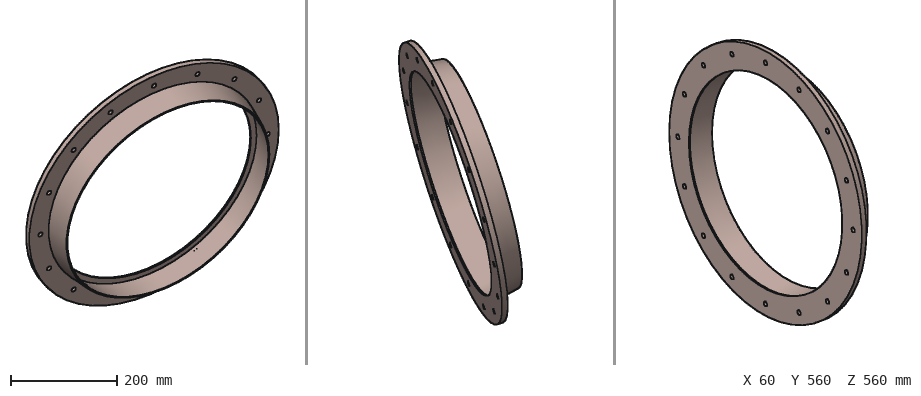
import cadquery as cq

flange_diameter = 560.0
flange_thickness = 12.0
total_depth = 60.0

lip_diameter = 446.0
lip_thickness = 3.5

collar_base_diameter = 473.0
collar_end_diameter = 456.0
collar_end_bore = 450.0

bolt_count = 16
bolt_hole_diameter = 9.5
bolt_circle_diameter = 509.5

collar_length = total_depth - flange_thickness
taper = (collar_base_diameter - collar_end_diameter) / collar_length
bore_at_lip = collar_end_bore + taper * (total_depth - lip_thickness)


def make_ring():
    """Revolve the wall section (axial position, radius) about the X axis."""
    section = [
        (0, lip_diameter / 2),
        (0, flange_diameter / 2),
        (flange_thickness, flange_diameter / 2),
        (flange_thickness, collar_base_diameter / 2),
        (total_depth, collar_end_diameter / 2),
        (total_depth, collar_end_bore / 2),
        (lip_thickness, bore_at_lip / 2),
        (lip_thickness, lip_diameter / 2),
    ]
    return cq.Workplane("XY").polyline(section).close().revolve(360, (0, 0, 0), (1, 0, 0))


def make_bolt_holes():
    """Evenly spaced cylinders through the flange, the first one on the Y axis."""
    return (
        cq.Workplane("YZ")
        .polarArray(bolt_circle_diameter / 2, 0, 360, bolt_count)
        .circle(bolt_hole_diameter / 2)
        .extrude(flange_thickness)
    )


result = make_ring().cut(make_bolt_holes())